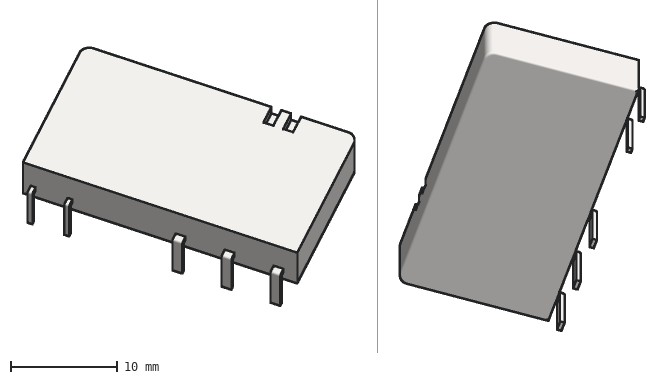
import cadquery as cq

body_length = 28.0
body_depth = 15.0
body_height = 5.0
corner_radius = 1.0
bottom_radius = 0.25

notch_width = 1.0
notch_length = 2.0
notch_depth = 1.0
notch_centers = (19.68, 21.7)

pin_thickness = 0.45
pin_reach = 0.85
pin_drop = 3.0
stub_top = 1.75
bend_radius = 0.25
narrow_pin_width = 0.5
wide_pin_width = 1.0
narrow_pin_centers = (1.05, 4.82)
wide_pin_centers = (16.1, 21.1, 26.1)


def make_body():
    """Housing with rounded rear corners and a rounded bottom edge."""
    body = cq.Workplane("XY").box(body_length, body_depth, body_height, centered=False)
    body = body.edges("|Z and >Y").fillet(corner_radius)
    return body.faces("<Z").edges().fillet(bottom_radius)


def make_notch(center_x):
    """Block that opens a notch through the top and rear faces."""
    notch = cq.Workplane("XY").box(notch_width, notch_length, notch_depth, centered=False)
    return notch.translate(
        (center_x - notch_width / 2, body_depth - notch_length, body_height - notch_depth)
    )


def make_pin(center_x, width):
    """Stub from the front wall, bending into a leg that hangs below the housing."""
    stub_length = pin_reach - pin_thickness
    stub = cq.Workplane("XY").box(width, stub_length, pin_thickness, centered=False)
    stub = stub.translate((center_x - width / 2, -stub_length, stub_top - pin_thickness))
    leg = cq.Workplane("XY").box(width, pin_thickness, stub_top + pin_drop, centered=False)
    leg = leg.edges("|X and >Z and <Y").fillet(bend_radius)
    leg = leg.translate((center_x - width / 2, -pin_reach, -pin_drop))
    return stub.union(leg)


result = make_body()
for notch_x in notch_centers:
    result = result.cut(make_notch(notch_x))
for pin_x in narrow_pin_centers:
    result = result.union(make_pin(pin_x, narrow_pin_width))
for pin_x in wide_pin_centers:
    result = result.union(make_pin(pin_x, wide_pin_width))